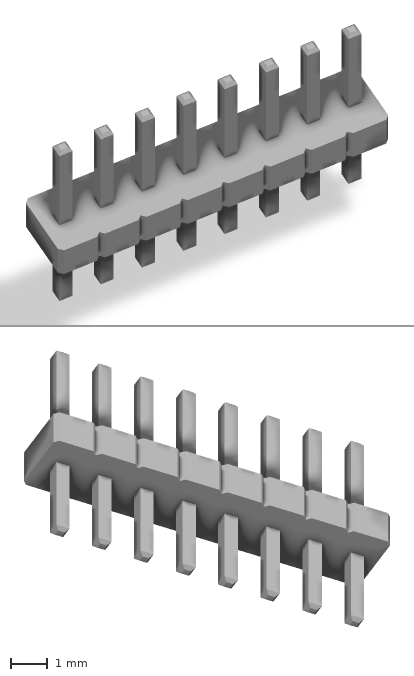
import cadquery as cq

pin_count = 8
pitch = 1.27

body_width = 2.1
body_height = 1.0
body_corner_chamfer = pitch / 10

pin_side = 0.4
pin_length_above = 3.0
pin_length_below = 2.3
pin_tip_chamfer = 0.1

pin_length = pin_length_below + body_height + pin_length_above
pin_positions = [(0, (i - (pin_count - 1) / 2) * pitch) for i in range(pin_count)]


def make_body_segment():
    """One pitch of the strip; its chamfered corners form the V notches between neighbours."""
    return (
        cq.Workplane("XY")
        .box(body_width, pitch, body_height, centered=(True, True, False))
        .edges("|Z")
        .chamfer(body_corner_chamfer)
    )


def make_pin():
    """Square pin with a tapered tip at both ends."""
    return (
        cq.Workplane("XY")
        .workplane(offset=-pin_length_below)
        .box(pin_side, pin_side, pin_length, centered=(True, True, False))
        .faces("<Z or >Z")
        .chamfer(pin_tip_chamfer)
    )


def repeat_along_row(shape):
    """Copy a shape to every pin position and fuse the copies."""
    row = cq.Workplane("XY")
    for x, y in pin_positions:
        row = row.union(shape.translate((x, y, 0)))
    return row


body = repeat_along_row(make_body_segment()).clean()
pins = repeat_along_row(make_pin())
result = body.union(pins)